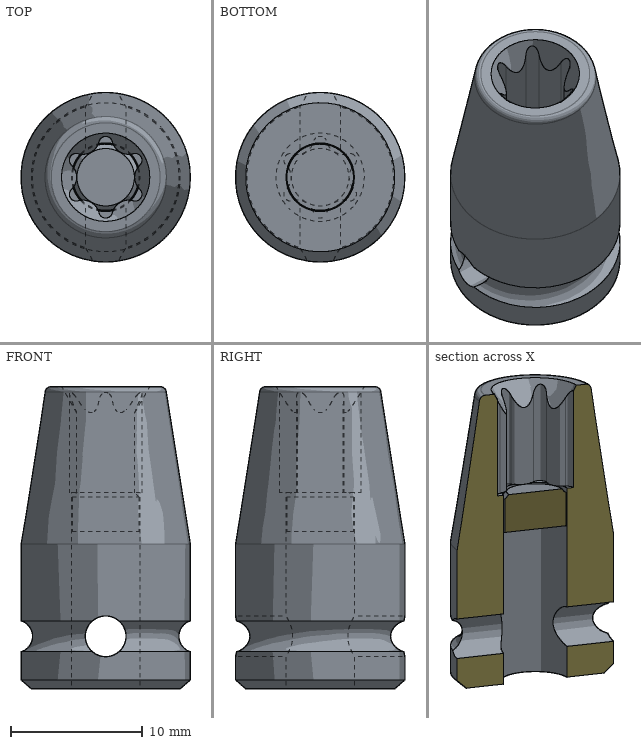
import cadquery as cq
import math

height = 23.0
body_radius = 6.452
shoulder_height = 11.02
nose_radius = 4.55
nose_fillet = 0.48
base_chamfer_height = 0.7
base_chamfer_width = 0.78

groove_height = 4.0
groove_width = 2.35
groove_depth = 0.87
cross_hole_radius = 1.55

lobe_count = 6
lobe_tip_radius = 3.1
lobe_round = 0.518
recess_inner_radius = 2.2
recess_depth = 8.05
lead_in_radius = 3.35
lead_in_angle = 30.0

bore_clearance = 0.07
magnet_radius = 2.53
magnet_thickness = 3.0
magnet_chamfer = 0.35

recess_floor = height - recess_depth


def make_blank():
    """Turned outside shape: chamfered base, round groove and tapered nose."""
    groove_bottom = groove_height - groove_width / 2
    groove_top = groove_height + groove_width / 2
    blank = (
        cq.Workplane("XZ")
        .lineTo(body_radius - base_chamfer_width, 0)
        .lineTo(body_radius, base_chamfer_height)
        .lineTo(body_radius, groove_bottom)
        .threePointArc((body_radius - groove_depth, groove_height), (body_radius, groove_top))
        .lineTo(body_radius, shoulder_height)
        .lineTo(nose_radius, height)
        .lineTo(0, height)
        .close()
        .revolve(360, (0, 0, 0), (0, 1, 0))
    )
    return blank.faces(">Z").edges().fillet(nose_fillet)


def make_cross_hole():
    """Retaining pin hole through the groove along Y."""
    return (
        cq.Workplane("XZ")
        .center(0, groove_height)
        .circle(cross_hole_radius)
        .extrude(body_radius, both=True)
    )


def make_recess():
    """Six rounded lobes joined by tangent convex arcs, the first lobe on +Y."""
    pitch = 2 * math.pi / lobe_count
    tip_center = lobe_tip_radius - lobe_round

    half_cos = math.cos(pitch / 2)
    c, t, r = recess_inner_radius, tip_center, lobe_round
    crest_round = (r**2 - c**2 - t**2 + 2 * c * t * half_cos) / (2 * (c - t * half_cos - r))
    crest_center = c + crest_round
    share = lobe_round / (lobe_round + crest_round)

    def polar(radius, angle):
        return (radius * math.cos(angle), radius * math.sin(angle))

    def tangent_point(tip_angle, crest_angle):
        tip = polar(tip_center, tip_angle)
        crest = polar(crest_center, crest_angle)
        return tuple(a + share * (b - a) for a, b in zip(tip, crest))

    first_angle = math.pi / 2
    outline = cq.Workplane("XY").workplane(offset=recess_floor)
    outline = outline.moveTo(*tangent_point(first_angle, first_angle - pitch / 2))
    for i in range(lobe_count):
        tip_angle = first_angle + i * pitch
        crest_angle = tip_angle + pitch / 2
        outline = outline.threePointArc(
            polar(lobe_tip_radius, tip_angle), tangent_point(tip_angle, crest_angle)
        )
        outline = outline.threePointArc(
            polar(recess_inner_radius, crest_angle), tangent_point(tip_angle + pitch, crest_angle)
        )
    return outline.close().extrude(recess_depth)


def make_lead_in():
    """Conical countersink at the mouth of the recess."""
    cone_height = lead_in_radius / math.tan(math.radians(lead_in_angle))
    return cq.Workplane(
        cq.Solid.makeCone(0, lead_in_radius, cone_height, pnt=cq.Vector(0, 0, height - cone_height))
    )


def make_magnet_bore():
    """Round bore from the base up to the recess floor."""
    return cq.Workplane("XY").circle(magnet_radius + bore_clearance).extrude(recess_floor)


def make_socket():
    return (
        make_blank()
        .cut(make_cross_hole())
        .cut(make_recess())
        .cut(make_lead_in())
        .cut(make_magnet_bore())
    )


def make_magnet():
    """Disc with a chamfered top edge, its top level with the recess floor."""
    disc = (
        cq.Workplane("XY")
        .workplane(offset=recess_floor)
        .circle(magnet_radius)
        .extrude(-magnet_thickness)
    )
    return disc.faces(">Z").edges().chamfer(magnet_chamfer)


socket = make_socket()
magnet = make_magnet()

result = cq.Compound.makeCompound([socket.val(), magnet.val()])